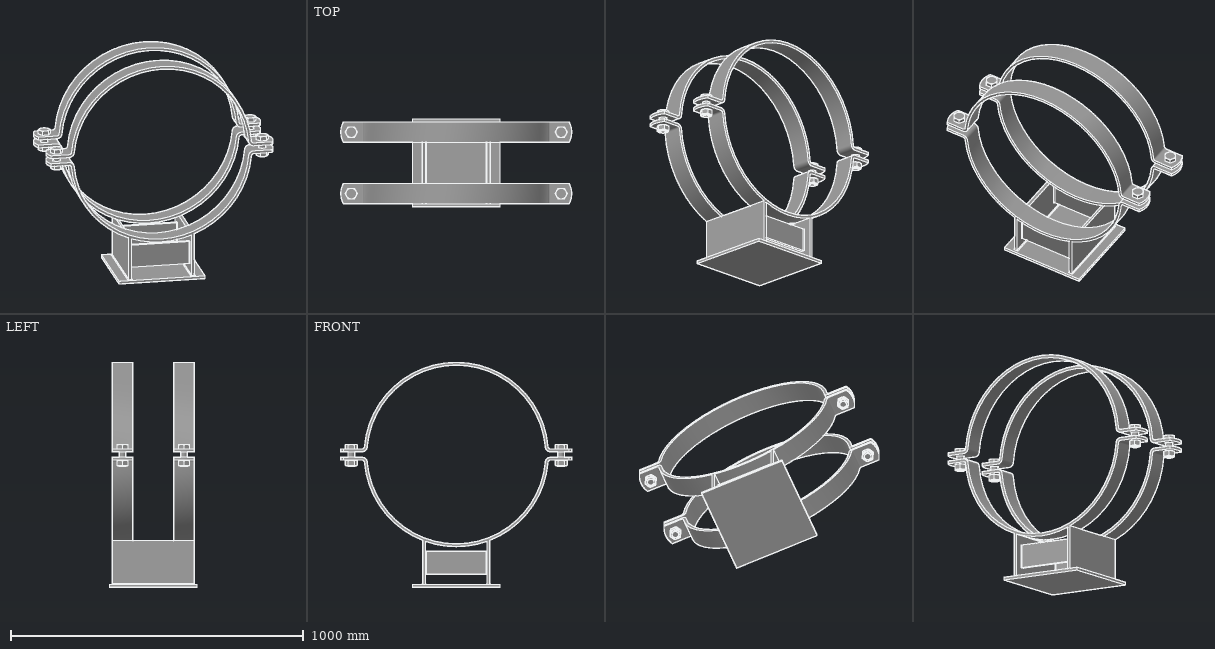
import cadquery as cq
import math

base_side = 300.0
steel_thickness = 10.0
stand_width = 229.5
stand_length = 280.0
cross_plate_height = 79.0
cross_plate_bottom = 45.0
weld_leg = 2.8

overall_height = 768.5
overall_width = 789.0
band_width = 70.0
band_outer_radius = 315.0
ear_gap = 18.0
bend_inner_radius = 8.0
bend_outer_radius = bend_inner_radius + steel_thickness
band_inner_radius = band_outer_radius - steel_thickness
band_y = (stand_length - band_width) / 2
ring_z = overall_height - band_outer_radius
ear_tip_radius = band_width

bolt_x = 358.0
bolt_diameter = 24.0
bolt_hole_diameter = 27.0
bolt_end_diameter = 22.0
bolt_end_length = 2.0
hex_across_flats = 36.0
hex_across_corners = hex_across_flats / math.cos(math.pi / 6)
head_face_diameter = hex_across_flats
nut_face_diameter = 33.0
hex_chamfer_angle = math.radians(30)
head_height = 15.0
nut_height = 20.0

ear_inside = ear_gap / 2
ear_outside = ear_inside + steel_thickness


def side_plate_and_welds(side):
    """One upright plate at x = side * stand_width / 2, welded to the base along both faces."""
    outer_x = side * stand_width / 2
    inner_x = side * (stand_width / 2 - steel_thickness)
    weld_top = steel_thickness + weld_leg
    profile = (
        cq.Workplane("XZ")
        .moveTo(outer_x + side * weld_leg, steel_thickness)
        .lineTo(outer_x, weld_top)
        .lineTo(outer_x, ring_z)
        .lineTo(inner_x, ring_z)
        .lineTo(inner_x, weld_top)
        .lineTo(inner_x - side * weld_leg, steel_thickness)
        .close()
    )
    return profile.extrude(stand_length / 2, both=True)


def cross_plate(y):
    """A plate joining the side plates below a band, welded along its upright edges on both faces."""
    half_span = stand_width / 2 - steel_thickness
    half_thickness = steel_thickness / 2
    plate = cq.Workplane("XY", origin=(0, y, cross_plate_bottom)).rect(2 * half_span, steel_thickness)
    plate = plate.extrude(cross_plate_height)
    for side in (-1, 1):
        weld = (
            cq.Workplane("XY", origin=(side * half_span, y, cross_plate_bottom))
            .moveTo(0, -half_thickness - weld_leg)
            .lineTo(0, half_thickness + weld_leg)
            .lineTo(-side * weld_leg, half_thickness)
            .lineTo(-side * weld_leg, -half_thickness)
            .close()
            .extrude(cross_plate_height)
        )
        plate = plate.union(weld)
    return plate


def upper_half_band():
    """Half ring with a rounded bend and a flat ear at each end, centred on the origin."""
    bend_z = ear_outside + bend_inner_radius
    bend_x = math.sqrt((band_outer_radius + bend_inner_radius) ** 2 - bend_z**2)
    start_angle = math.atan2(bend_z, bend_x)
    ring_direction = math.pi + start_angle
    down_direction = 1.5 * math.pi
    middle_angle = (ring_direction + down_direction) / 2

    def on_ring(radius):
        return (radius * math.cos(start_angle), radius * math.sin(start_angle))

    def on_bend(radius):
        return (bend_x + radius * math.cos(middle_angle), bend_z + radius * math.sin(middle_angle))

    def mirrored(point):
        return (-point[0], point[1])

    half_width = overall_width / 2
    profile = (
        cq.Workplane("XZ")
        .moveTo(half_width, ear_inside)
        .lineTo(half_width, ear_outside)
        .lineTo(bend_x, ear_outside)
        .threePointArc(on_bend(bend_inner_radius), on_ring(band_outer_radius))
        .threePointArc((0, band_outer_radius), mirrored(on_ring(band_outer_radius)))
        .threePointArc(mirrored(on_bend(bend_inner_radius)), (-bend_x, ear_outside))
        .lineTo(-half_width, ear_outside)
        .lineTo(-half_width, ear_inside)
        .lineTo(-bend_x, ear_inside)
        .threePointArc(mirrored(on_bend(bend_outer_radius)), mirrored(on_ring(band_inner_radius)))
        .threePointArc((0, band_inner_radius), on_ring(band_inner_radius))
        .threePointArc(on_bend(bend_outer_radius), (bend_x, ear_inside))
        .close()
    )
    return profile.extrude(band_width / 2, both=True)


def band_pair():
    """Two half bands facing each other, with arc-shaped ear tips and bolt holes."""
    upper = upper_half_band()
    tip_drop = ear_tip_radius - math.sqrt(ear_tip_radius**2 - (band_width / 2) ** 2)
    half_width = overall_width / 2
    corner_x = half_width - tip_drop
    plan = (
        cq.Workplane("XY")
        .moveTo(corner_x, -band_width / 2)
        .threePointArc((half_width, 0), (corner_x, band_width / 2))
        .lineTo(-corner_x, band_width / 2)
        .threePointArc((-half_width, 0), (-corner_x, -band_width / 2))
        .close()
        .extrude(band_outer_radius)
    )
    holes = (
        cq.Workplane("XY")
        .pushPoints([(-bolt_x, 0), (bolt_x, 0)])
        .circle(bolt_hole_diameter / 2)
        .extrude(ear_outside)
    )
    upper = upper.intersect(plan).cut(holes)
    return [upper, upper.mirror("XY")]


def turned_hexagon(height, face_diameter):
    """A hexagon on z = 0 whose upper corners are turned off to leave a round top face."""
    corner_radius = hex_across_corners / 2
    face_radius = face_diameter / 2
    corner_drop = (corner_radius - face_radius) * math.tan(hex_chamfer_angle)
    envelope = (
        cq.Workplane("XZ")
        .lineTo(corner_radius, 0)
        .lineTo(corner_radius, height - corner_drop)
        .lineTo(face_radius, height)
        .lineTo(0, height)
        .close()
        .revolve(360, (0, 0), (0, 1))
    )
    return cq.Workplane("XY").polygon(6, hex_across_corners).extrude(height).intersect(envelope)


def bolt():
    """Bolt with its head on the upper ear and its nut under the lower ear, centred on the ring centre."""
    head = turned_hexagon(head_height, head_face_diameter)
    head = head.translate((0, 0, ear_outside))
    nut = turned_hexagon(nut_height, nut_face_diameter)
    nut = nut.intersect(nut.mirror("XY").translate((0, 0, nut_height)))
    nut = nut.translate((0, 0, -ear_outside - nut_height))
    shank_length = 2 * ear_outside + nut_height + bolt_end_length
    shank = (
        cq.Workplane("XY", origin=(0, 0, ear_outside))
        .circle(bolt_diameter / 2)
        .extrude(-shank_length)
        .faces("<Z")
        .chamfer((bolt_diameter - bolt_end_diameter) / 2)
    )
    return head.union(shank).union(nut)


stand = side_plate_and_welds(-1).union(side_plate_and_welds(1))
ring_space = cq.Workplane("XZ", origin=(0, 0, ring_z)).circle(band_outer_radius)
stand = stand.cut(ring_space.extrude(stand_length, both=True))
base = cq.Workplane("XY").rect(base_side, base_side).extrude(steel_thickness)
result = base.union(stand)

for y in (-band_y, band_y):
    result = result.union(cross_plate(y))
    for half_band in band_pair():
        result = result.union(half_band.translate((0, y, ring_z)))
    for x in (-bolt_x, bolt_x):
        result = result.union(bolt().translate((x, y, ring_z)))